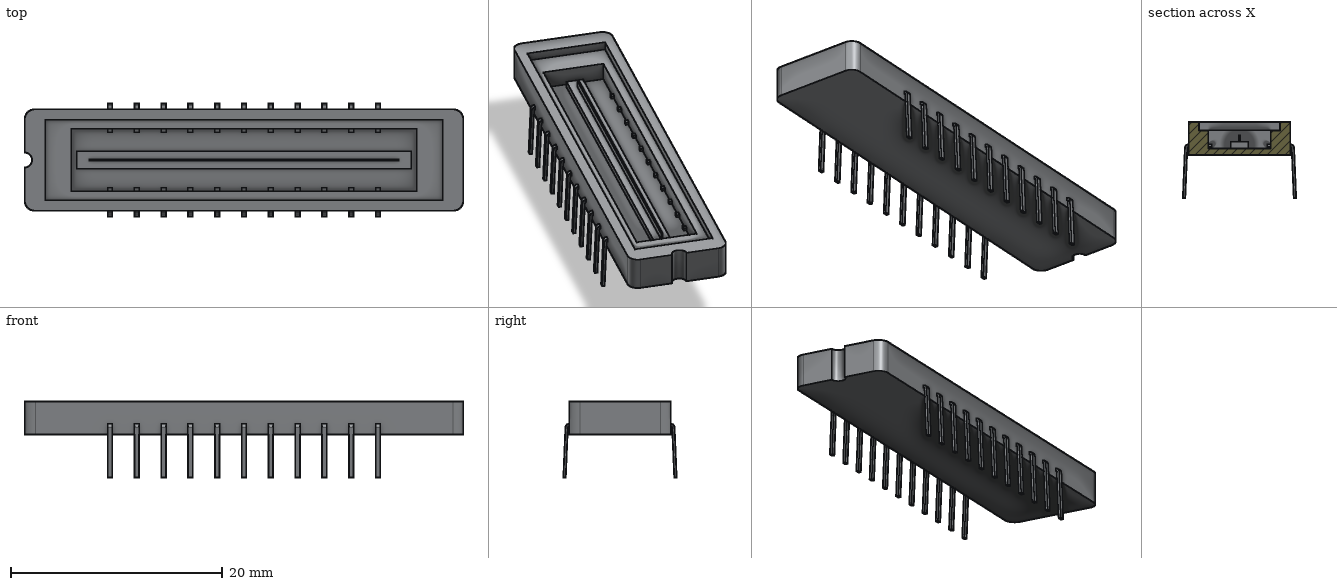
import cadquery as cq
import math

body_length = 41.6
body_width = 9.65
body_height = 3.15
corner_radius = 1.0
notch_radius = 0.7

ledge_length = 37.7
ledge_width = 7.65
ledge_depth = 0.8
cavity_length = 32.7
cavity_width = 5.9
cavity_depth = 2.5

chip_length = 31.7
chip_width = 1.63
chip_height = 0.6
rib_length = 29.3
rib_width = 0.15
rib_height = 0.65

leads_per_row = 11
lead_pitch = 2.54
lead_width = 0.46
lead_thickness = 0.25
lead_bend_inner_radius = 0.1
lead_top_depth = 2.13
lead_inner_reach = 0.3
lead_tip_span = 10.76
overall_height = 7.23
lead_tilt = math.radians(2.35)

floor_z = body_height - cavity_depth


def block(length, width, height, bottom_z):
    """Box centred on the Z axis, standing on bottom_z."""
    return cq.Workplane("XY").workplane(offset=bottom_z).rect(length, width).extrude(height)


def make_body():
    body = block(body_length, body_width, body_height, 0)
    body = body.edges("|Z").fillet(corner_radius)
    notch = cq.Workplane("XY").center(-body_length / 2, 0).circle(notch_radius).extrude(body_height)
    ledge = block(ledge_length, ledge_width, ledge_depth, body_height - ledge_depth)
    cavity = block(cavity_length, cavity_width, cavity_depth, floor_z)
    return body.cut(notch).cut(ledge).cut(cavity)


def make_chip():
    chip = block(chip_length, chip_width, chip_height, floor_z)
    rib = block(rib_length, rib_width, rib_height, floor_z + chip_height)
    return chip.union(rib)


def make_lead():
    """Lead on the +Y side at X = 0: a flat arm, a round bend and a slightly splayed leg."""
    arm_top_z = body_height - lead_top_depth
    arm_bottom_z = arm_top_z - lead_thickness
    tip_z = body_height - overall_height
    inner_y = cavity_width / 2 - lead_inner_reach
    tip_y = lead_tip_span / 2

    bend_outer_radius = lead_bend_inner_radius + lead_thickness
    bend_z = arm_bottom_z - lead_bend_inner_radius
    bend_y = tip_y - (bend_z - tip_z) * math.tan(lead_tilt) - bend_outer_radius / math.cos(lead_tilt)
    bend_middle = (lead_tilt + math.pi / 2) / 2

    def bend_point(radius, angle):
        return (bend_y + radius * math.cos(angle), bend_z + radius * math.sin(angle))

    profile = (
        cq.Workplane("YZ")
        .moveTo(inner_y, arm_bottom_z)
        .lineTo(inner_y, arm_top_z)
        .lineTo(bend_y, arm_top_z)
        .threePointArc(
            bend_point(bend_outer_radius, bend_middle),
            bend_point(bend_outer_radius, lead_tilt),
        )
        .lineTo(tip_y, tip_z)
        .lineTo(tip_y - lead_thickness / math.cos(lead_tilt), tip_z)
        .lineTo(*bend_point(lead_bend_inner_radius, lead_tilt))
        .threePointArc(
            bend_point(lead_bend_inner_radius, bend_middle),
            (bend_y, arm_bottom_z),
        )
        .close()
    )
    return profile.extrude(lead_width / 2, both=True)


def add_leads(part):
    lead = make_lead()
    opposite_lead = lead.mirror("XZ")
    for index in range(leads_per_row):
        x = (index - (leads_per_row - 1) / 2) * lead_pitch
        part = part.union(lead.translate((x, 0, 0)))
        part = part.union(opposite_lead.translate((x, 0, 0)))
    return part


result = add_leads(make_body().union(make_chip()))